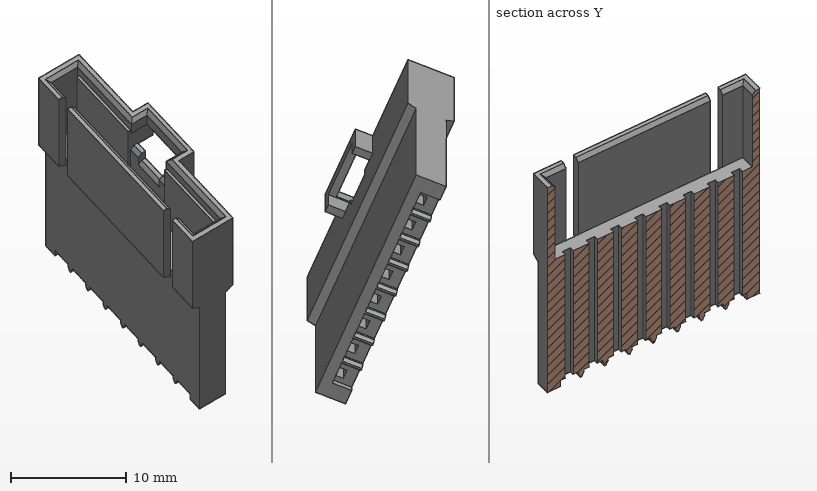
import cadquery as cq

width = 22.35
height = 24.25
depth = 6.0

shroud_depth = 4.37
front_inset = 0.75
back_inset = 0.78
shroud_bottom = 14.82
body_top = 14.35

floor_level = 15.4
front_wall = front_inset
side_wall = 0.82
back_wall = back_inset
rim_bevel = 0.36

bump_half_width = 3.35
bump_wall = 0.73
bump_bottom = 20.43
sill_level = 20.57
bump_window_top = 22.65
window_half_width = 2.65
notch_width = 3.03
notch_depth = 0.97

rib_top = 22.97
rib_thickness = 0.27
rib_side_gap = 0.27

slot_width = 1.29
slot_side_offset = 2.94

contact_count = 8
pitch = 2.54
hole_size = 0.82

recess_height = 0.73
recess_side_offset = 1.38
tooth_width = 0.6
tooth_tip_width = 0.17
tooth_taper_height = 0.44

cavity_half_width = width / 2 - side_wall
cavity_back = shroud_depth - back_wall
bump_cavity_half_width = bump_half_width - side_wall
bump_cavity_back = depth - bump_wall
body_back = shroud_depth - back_inset
contact_y = (front_inset + body_back) / 2


def block(x_range, y_range, z_range):
    """Box spanning the given (low, high) ranges."""
    spans = [high - low for low, high in (x_range, y_range, z_range)]
    return cq.Workplane("XY").box(*spans, centered=False).translate(
        (x_range[0], y_range[0], z_range[0])
    )


def housing_shell():
    """Solid side profile with shoulders, plus the latch bump."""
    profile = [
        (front_inset, 0),
        (front_inset, body_top),
        (0, shroud_bottom),
        (0, height),
        (shroud_depth, height),
        (shroud_depth, shroud_bottom),
        (body_back, body_top),
        (body_back, 0),
    ]
    shell = cq.Workplane("YZ").polyline(profile).close().extrude(width / 2, both=True)
    bump = block(
        (-bump_half_width, bump_half_width), (cavity_back, depth), (bump_bottom, height)
    )
    return shell.union(bump)


def cavity_outline(level, growth=0.0):
    """T-shaped mouth of the cavity at a height, grown outwards on every side."""
    side = cavity_half_width + growth
    bump_side = bump_cavity_half_width + growth
    front = front_wall - growth
    back = cavity_back + growth
    bump_back = bump_cavity_back + growth
    return cq.Workplane("XY", origin=(0, 0, level)).polyline([
        (-side, front),
        (side, front),
        (side, back),
        (bump_side, back),
        (bump_side, bump_back),
        (-bump_side, bump_back),
        (-bump_side, back),
        (-side, back),
    ]).close().wires().vals()[0]


def cavity():
    """Main pocket, latch pocket and the bevelled rim above both."""
    pocket = block(
        (-cavity_half_width, cavity_half_width), (front_wall, cavity_back), (floor_level, height)
    )
    latch_pocket = block(
        (-bump_cavity_half_width, bump_cavity_half_width),
        (cavity_back, bump_cavity_back),
        (sill_level, height),
    )
    rim = cq.Solid.makeLoft(
        [cavity_outline(height - rim_bevel), cavity_outline(height, rim_bevel)], True
    )
    return pocket.union(latch_pocket).union(cq.Workplane(obj=rim))


def latch_window():
    """Opening under the bump, with a notched and bevelled sill in the back wall."""
    notch_bottom = sill_level - notch_depth
    notch_half_width = notch_width / 2
    window_x = (-window_half_width, window_half_width)
    notch_x = (-notch_half_width, notch_half_width)
    cutter = block(window_x, (cavity_back, depth), (sill_level, bump_window_top))

    cutter = cutter.union(block(window_x, (shroud_depth, depth), (bump_bottom, sill_level)))

    cutter = cutter.union(block(notch_x, (cavity_back, shroud_depth), (notch_bottom, sill_level)))

    for level, half_width in ((sill_level, window_half_width), (notch_bottom, notch_half_width)):
        bevel = (
            cq.Workplane("YZ")
            .polyline([
                (cavity_back, level),
                (cavity_back + rim_bevel, level),
                (cavity_back, level - rim_bevel),
            ])
            .close()
            .extrude(half_width, both=True)
        )
        cutter = cutter.union(bevel)
    return cutter


def back_rib(side):
    """Rib on the inside of the back wall; side is -1 (left) or 1 (right)."""
    ends = sorted((side * window_half_width, side * (cavity_half_width - rib_side_gap)))
    return block(ends, (cavity_back - rib_thickness, cavity_back), (floor_level, rib_top))


def front_slot(side):
    """Full-height slot through the front wall of the shroud."""
    outer = width / 2 - slot_side_offset
    ends = sorted((side * outer, side * (outer - slot_width)))
    return block(ends, (0, front_wall), (body_top, height))


def contact_holes():
    """Row of square holes through the body."""
    return (
        cq.Workplane("XY")
        .center(0, contact_y)
        .rarray(pitch, 0.25, contact_count, 1)
        .rect(hole_size, hole_size)
        .extrude(height)
    )


def underside_recess():
    """Recess in the lower front edge, reaching the back of the holes, less the teeth."""
    recess_half_width = width / 2 - recess_side_offset
    recess_back = contact_y + hole_size / 2
    recess = block(
        (-recess_half_width, recess_half_width), (front_inset, recess_back), (0, recess_height)
    )
    tooth = (
        cq.Workplane("XZ")
        .polyline([
            (-tooth_tip_width / 2, 0),
            (tooth_tip_width / 2, 0),
            (tooth_width / 2, tooth_taper_height),
            (tooth_width / 2, recess_height),
            (-tooth_width / 2, recess_height),
            (-tooth_width / 2, tooth_taper_height),
        ])
        .close()
        .extrude(-recess_back)
    )
    tooth_count = contact_count - 1
    for index in range(tooth_count):
        offset = (index - (tooth_count - 1) / 2) * pitch
        recess = recess.cut(tooth.translate((offset, 0, 0)))
    return recess


result = housing_shell().cut(cavity()).cut(latch_window())
for side in (-1, 1):
    result = result.union(back_rib(side)).cut(front_slot(side))
result = result.cut(contact_holes()).cut(underside_recess())